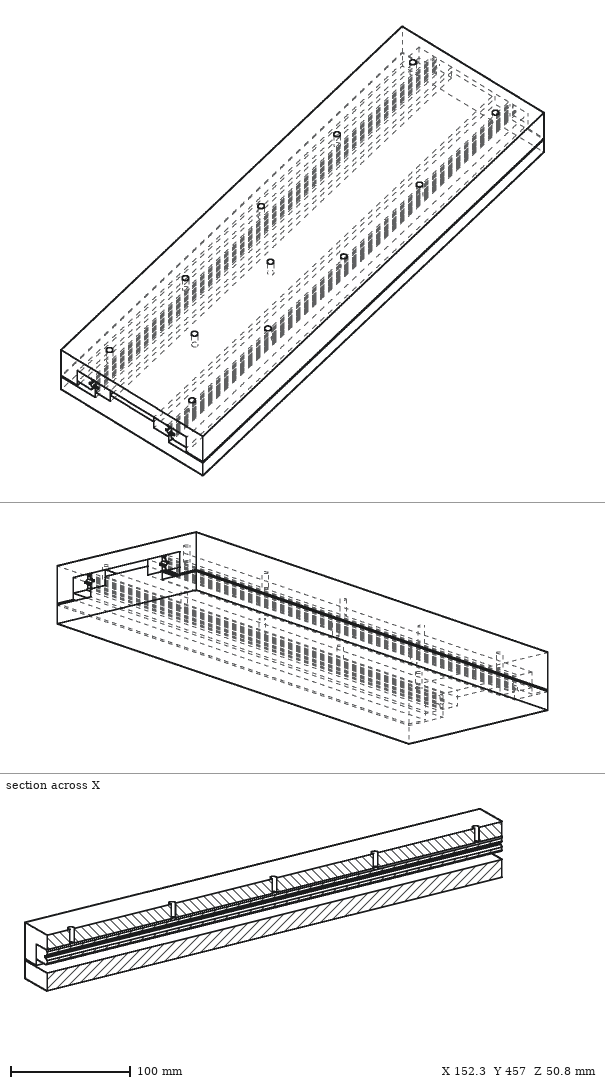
import cadquery as cq

length = 457.0
width = length / 3
height = length / 9

base_thickness = 16.5
web_clearance = 6.0

top_thickness = 13.5
cavity_width = 117.0
running_gap = 1.5

rail_width = 16.0
rail_height = 13.5
rail_spacing = 3.0
rail_chamfer = 1.5
groove_width = 5.0
relief_width = 1.5
relief_depth = 1.5

hole_diameter = 5.5
hole_pitch = 2 * height
side_hole_x = 44.5
holes_per_side = 5
first_center_hole_y = -43.0
center_hole_count = 2

ceiling_z = height - top_thickness
rail_bottom_z = ceiling_z - rail_height
rail_middle_z = ceiling_z - rail_height / 2
cavity_half = cavity_width / 2
outer_rail_face = cavity_half - rail_width
inner_rail_face = outer_rail_face - rail_spacing
web_half = inner_rail_face - rail_width


def extrude_along_y(outline):
    """Extrude a closed outline of (x, z) points over the full length, centred on Y = 0."""
    return cq.Workplane("XZ").polyline(outline).close().extrude(length / 2, both=True)


def mirrored_in_x(half_outline):
    """Complete an outline given for +X with its mirror image at -X."""
    return half_outline + [(-x, z) for x, z in reversed(half_outline)]


def make_base():
    return extrude_along_y(mirrored_in_x([
        (width / 2, 0),
        (width / 2, base_thickness),
        (inner_rail_face, base_thickness),
        (inner_rail_face, rail_bottom_z),
        (web_half, rail_bottom_z),
        (web_half, ceiling_z - web_clearance),
    ]))


def carriage_hole_centers():
    """Centres of the five holes along each side and the two on the centre line."""
    first_side_hole_y = -hole_pitch * (holes_per_side - 1) / 2
    side_rows = [
        (x, first_side_hole_y + i * hole_pitch)
        for x in (-side_hole_x, side_hole_x)
        for i in range(holes_per_side)
    ]
    center_row = [(0, first_center_hole_y - i * hole_pitch) for i in range(center_hole_count)]
    return side_rows + center_row


def make_carriage():
    skirt_bottom_z = base_thickness + running_gap
    channel = extrude_along_y(mirrored_in_x([
        (cavity_half, ceiling_z),
        (cavity_half, skirt_bottom_z),
        (width / 2, skirt_bottom_z),
        (width / 2, height),
    ]))
    holes = (
        cq.Workplane("XY", origin=(0, 0, ceiling_z))
        .pushPoints(carriage_hole_centers())
        .circle(hole_diameter / 2)
        .extrude(top_thickness)
    )
    return channel.cut(holes)


def make_rail(face_x, facing):
    """Rail whose grooved face lies at face_x and looks toward +X (facing = 1) or -X (facing = -1)."""
    vee_depth = (groove_width - relief_width) / 2
    upper_half = [
        (rail_width, rail_height / 2),
        (rail_chamfer, rail_height / 2),
        (0, rail_height / 2 - rail_chamfer),
        (0, groove_width / 2),
        (vee_depth, relief_width / 2),
        (vee_depth + relief_depth, relief_width / 2),
    ]
    lower_half = [(depth, -rise) for depth, rise in reversed(upper_half)]
    return extrude_along_y([
        (face_x - facing * depth, rail_middle_z + rise) for depth, rise in upper_half + lower_half
    ])


base = make_base()
carriage = make_carriage()

rails = []
for side in (-1, 1):
    rails.append(make_rail(side * outer_rail_face, -side))
    rails.append(make_rail(side * inner_rail_face, side))

result = cq.Compound.makeCompound([base.val(), carriage.val(), *[rail.val() for rail in rails]])